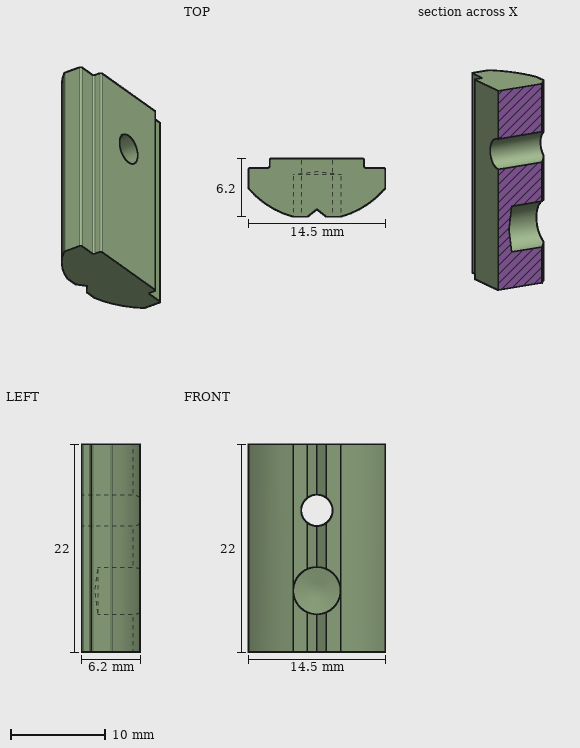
import cadquery as cq
import math

length = 22.0
width = 14.5
depth = 6.2

tongue_width = 10.0
tongue_height = 1.0

edge_radius = 0.2

belly_radius = 9.5
flat_width = 5.0

groove_width = 2.0
groove_depth = 0.8

screw_hole_diameter = 3.3
screw_hole_from_top = 7.0

blind_hole_diameter = 5.0
blind_hole_from_bottom = 6.5
blind_hole_depth = 4.5
floor_cone_angle = 165.0

back_y = depth / 2
flat_y = -depth / 2
shoulder_y = back_y - tongue_height
belly_centre_y = flat_y + math.sqrt(belly_radius**2 - (flat_width / 2) ** 2)


def belly_y(x):
    """Y of the belly arc at a given X."""
    return belly_centre_y - math.sqrt(belly_radius**2 - x**2)


def make_body():
    """Extrude the section, centred on the origin."""
    side_x = width / 2
    tongue_x = tongue_width / 2
    flat_x = flat_width / 2
    groove_x = groove_width / 2
    middle_x = (side_x + flat_x) / 2
    half_section = (
        cq.Workplane("XY")
        .moveTo(0, back_y)
        .lineTo(tongue_x, back_y)
        .lineTo(tongue_x, shoulder_y)
        .lineTo(side_x, shoulder_y)
        .lineTo(side_x, belly_y(side_x))
        .threePointArc((middle_x, belly_y(middle_x)), (flat_x, flat_y))
        .lineTo(groove_x, flat_y)
        .lineTo(0, flat_y + groove_depth)
    )
    body = half_section.mirrorY().extrude(length / 2, both=True)
    rounded_zone = cq.selectors.BoxSelector(
        (-width, belly_y(side_x) - edge_radius, -length),
        (width, back_y + edge_radius, length),
    )
    return body.edges("|Z").edges(rounded_zone).fillet(edge_radius)


def make_screw_hole():
    """Cylinder passing through the whole depth."""
    hole_z = length / 2 - screw_hole_from_top
    return (
        cq.Workplane("XZ", origin=(0, 0, hole_z))
        .circle(screw_hole_diameter / 2)
        .extrude(depth, both=True)
    )


def make_blind_hole():
    """Drilled hole entering from the flat: a cylinder ending in a cone."""
    hole_z = blind_hole_from_bottom - length / 2
    radius = blind_hole_diameter / 2
    floor_length = radius / math.tan(math.radians(floor_cone_angle / 2))
    floor_y = flat_y + blind_hole_depth
    entry_y = flat_y - depth
    return (
        cq.Workplane("XY", origin=(0, 0, hole_z))
        .moveTo(0, entry_y)
        .lineTo(radius, entry_y)
        .lineTo(radius, floor_y)
        .lineTo(0, floor_y + floor_length)
        .close()
        .revolve(360, (0, 0, 0), (0, 1, 0))
    )


result = make_body().cut(make_screw_hole()).cut(make_blind_hole())